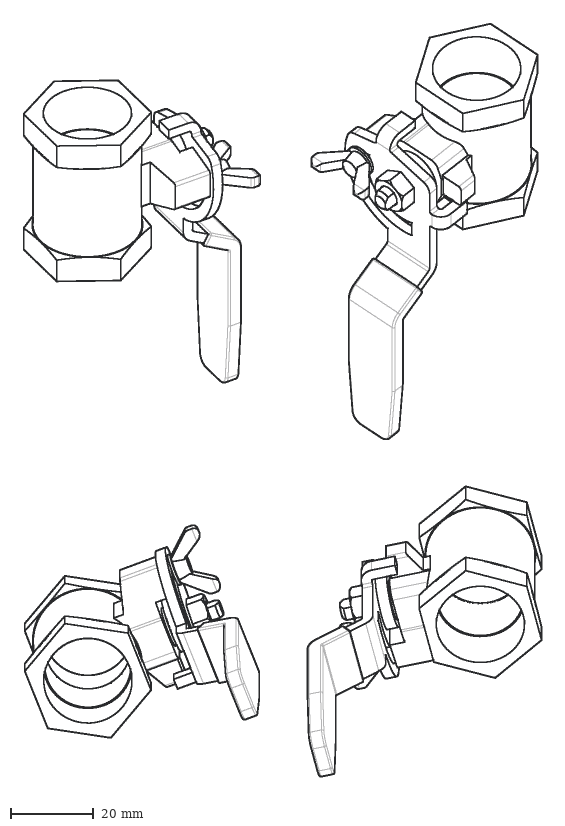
import cadquery as cq
import math


HOUSING_LENGTH = 40.4
HEX_FLATS = 26.7
HEX_HEIGHT = 7.1
HEX_CORNER_DROP = 0.75
BARREL_RADIUS = 13.2
PORT_RADIUS = 10.7
PORT_DEPTH = 12.4
BORE_RADIUS = 10.4

BOSS_FACE_Y = 20.85
BOSS_ROOT_Y = 9.35
BOSS_HALF_HEIGHT = 7.3
BOSS_LEFT_X = -7.6
BOSS_LEFT_HALF_HEIGHT = 2.7
BOSS_TOP_LEFT_X = -5.8
BOSS_TOP_RIGHT_X = 4.7
BOSS_CORNER_RADIUS = 2.3
LOCK_LUG_STEP_X = 8.6
LOCK_LUG_END_X = 16.7
LOCK_LUG_END_HALF_HEIGHT = 3.8
LOCK_LUG_END_Y = 14.7
LOCK_LUG_ROOT_Y = 12.5
STOP_LUG_END_X = -13.5
STOP_LUG_FACE_Y = 20.3
STOP_LUG_END_Y = 15.3
STOP_LUG_ROOT_X = -7.9
STOP_LUG_ROOT_Y = 12.3
STOP_LUG_TOP_Z = 3.55
LUG_EDGE_RADIUS = 0.8

SHEET = 2.6
PLATE_INNER_Y = 24.5
PLATE_OUTER_Y = PLATE_INNER_Y + SHEET
PLATE_RADIUS = 18.3
PLATE_CORNER_RADIUS = 2.7
PLATE_LEFT_CORNER_Z = 6.1
PLATE_RIGHT_CORNER = (17.9, 7.3)
STRIP_CENTER_X = -2.5
STRIP_WIDTH = 13.7
STRIP_LEFT_X = STRIP_CENTER_X - STRIP_WIDTH / 2
STRIP_RIGHT_X = STRIP_CENTER_X + STRIP_WIDTH / 2
BEND_INNER_RADIUS = 0.9
CRANK_ANGLE = math.radians(30)
CRANK_TOP_Z = -23.3
TAPER_TOP_Z = -54.2
TAPER = 1.4

TAB_TIP_Y = 18.0
TAB_ROOT_RADIUS = 0.7
TOP_TAB_LEFT_X = 3.6
TOP_TAB_RIGHT_X = 8.1
TOP_TAB_LEFT_ROOT_Z = 9.6
TOP_TAB_RIGHT_ROOT_Z = 9.2
TOP_TAB_FACE_Z = 13.4
STOP_TAB_TOP_Z = -2.7
STOP_TAB_BOTTOM_Z = -7.1
STOP_TAB_FACE_X = -13.4
STOP_TAB_INNER_RADIUS = 0.6
STOP_TAB_OUTER_RADIUS = STOP_TAB_INNER_RADIUS + SHEET

SLOT_RADIUS = 13.0
SLOT_WIDTH = 4.1
SLOT_OVERRUN = 3.55

GRIP_WALL = 0.6
GRIP_BOTTOM_Z = HOUSING_LENGTH / 2 - 93.5
GRIP_OUTER_Y = 40.7
STRIP_BOTTOM_Z = GRIP_BOTTOM_Z + GRIP_WALL
GRIP_START_Y = 30.85
GRIP_CORNER_RADIUS = 3.1
GRIP_EDGE_RADIUS = 0.5

STEM_RADIUS = 2.76
STEM_FLATS = 3.4
STEM_TIP_Y = 34.5
STEM_CHAMFER = 0.9
NECK_RADIUS = 4.9
COLLAR_RADIUS = 6.7
COLLAR_BASE_Y = 21.7
NUT_FLATS = 8.7
NUT_HEIGHT = 4.4
NUT_EDGE_CHAMFER = 0.6

WING_AXIS_X = SLOT_RADIUS
WING_FLANGE_RADIUS = 3.9
WING_FLANGE_HEIGHT = 0.7
WING_HUB_BASE_RADIUS = 2.9
WING_HUB_TOP_RADIUS = 2.3
WING_HUB_TOP_Y = 31.2
WING_REACH = 8.5
WING_TIP_Y = 36.4
WING_TIP_INNER = 5.8
WING_UNDERSIDE_Y = 33.6
WING_ROOT_OUTER = 3.2
WING_ROOT_INNER = 1.8
WING_ROOT_TOP_Y = 30.4
WING_THICKNESS = 3.0
WING_TIP_RADIUS = 1.2


def y_prism(points, y_start, y_end):
    """Extrude a closed XZ outline from y_start to y_end."""
    sketch = cq.Workplane("XZ", origin=(0, y_start, 0)).polyline(points).close()
    return sketch.extrude(y_start - y_end)


def y_cylinder(radius, y_start, y_end, x=0.0):
    return cq.Workplane("XZ", origin=(x, y_start, 0)).circle(radius).extrude(y_start - y_end)


def fillet_near(solid, direction, points, radius):
    """Round the edges along one axis that lie nearest to the given points."""
    for point in points:
        edge = solid.edges(f"|{direction}").edges(cq.NearestToPointSelector(point))
        solid = edge.fillet(radius)
    return solid


def hex_end():
    """Upper hexagonal end, its inner corners cut back by a shallow cone."""
    corner_radius = HEX_FLATS / math.sqrt(3)
    top = HOUSING_LENGTH / 2
    base = top - HEX_HEIGHT
    prism = cq.Workplane("XY", origin=(0, 0, base)).polygon(6, 2 * corner_radius).extrude(HEX_HEIGHT)
    envelope = (
        cq.Workplane("XZ")
        .polyline(
            [
                (0, base),
                (HEX_FLATS / 2, base),
                (corner_radius, base + HEX_CORNER_DROP),
                (corner_radius, top),
                (0, top),
            ]
        )
        .close()
        .revolve(360, (0, 0, 0), (0, 1, 0))
    )
    return prism.intersect(envelope)


def boss_and_lock_lug():
    corners = [
        (BOSS_LEFT_X, BOSS_LEFT_HALF_HEIGHT),
        (BOSS_TOP_LEFT_X, BOSS_HALF_HEIGHT),
        (BOSS_TOP_RIGHT_X, BOSS_HALF_HEIGHT),
        (LOCK_LUG_END_X, LOCK_LUG_END_HALF_HEIGHT),
    ]
    outline = corners + [(x, -z) for x, z in reversed(corners)]
    block = y_prism(outline, BOSS_ROOT_Y, PLATE_INNER_Y)
    for corner, radius in ((1, BOSS_CORNER_RADIUS), (2, BOSS_CORNER_RADIUS), (3, LUG_EDGE_RADIUS)):
        x, z = corners[corner]
        block = fillet_near(block, "Y", [(x, BOSS_FACE_Y, z), (x, BOSS_FACE_Y, -z)], radius)
    side_shape = (
        cq.Workplane("XY", origin=(0, 0, -BOSS_HALF_HEIGHT))
        .polyline(
            [
                (BOSS_LEFT_X, BOSS_ROOT_Y),
                (BOSS_LEFT_X, BOSS_FACE_Y),
                (LOCK_LUG_STEP_X, BOSS_FACE_Y),
                (LOCK_LUG_STEP_X, PLATE_INNER_Y),
                (LOCK_LUG_END_X, PLATE_INNER_Y),
                (LOCK_LUG_END_X, LOCK_LUG_END_Y),
                (LOCK_LUG_STEP_X, LOCK_LUG_ROOT_Y),
                (LOCK_LUG_STEP_X, BOSS_ROOT_Y),
            ]
        )
        .close()
        .extrude(2 * BOSS_HALF_HEIGHT)
    )
    return block.intersect(side_shape)


def stop_lug():
    lug = (
        cq.Workplane("XY", origin=(0, 0, STOP_TAB_TOP_Z))
        .polyline(
            [
                (0, STOP_LUG_FACE_Y),
                (STOP_LUG_END_X, STOP_LUG_FACE_Y),
                (STOP_LUG_END_X, STOP_LUG_END_Y),
                (STOP_LUG_ROOT_X, STOP_LUG_ROOT_Y),
                (STOP_LUG_ROOT_X, BOSS_ROOT_Y),
                (0, BOSS_ROOT_Y),
            ]
        )
        .close()
        .extrude(STOP_LUG_TOP_Z - STOP_TAB_TOP_Z)
    )
    return lug.faces("<X").edges("|Y").fillet(LUG_EDGE_RADIUS)


def make_housing():
    barrel = cq.Workplane("XY").cylinder(HOUSING_LENGTH, BARREL_RADIUS)
    upper_end = hex_end()
    body = barrel.union(upper_end).union(upper_end.mirror("XY"))
    body = body.union(boss_and_lock_lug()).union(stop_lug())
    body = body.cut(cq.Workplane("XY").cylinder(HOUSING_LENGTH, BORE_RADIUS))
    port = cq.Workplane("XY", origin=(0, 0, HOUSING_LENGTH / 2)).circle(PORT_RADIUS).extrude(-PORT_DEPTH)
    return body.cut(port).cut(port.mirror("XY"))


STRIP_UPPER_Y = PLATE_INNER_Y + SHEET / 2
STRIP_LOWER_Y = GRIP_OUTER_Y - GRIP_WALL - SHEET / 2


def crank_z(y):
    """Height of the strip's middle line at distance y along its sloping part."""
    return CRANK_TOP_Z - (y - STRIP_UPPER_Y) * math.tan(CRANK_ANGLE)


UPPER_BEND = (STRIP_UPPER_Y, CRANK_TOP_Z)
LOWER_BEND = (STRIP_LOWER_Y, crank_z(STRIP_LOWER_Y))


def left_normal(start, end):
    length = math.dist(start, end)
    return ((start[1] - end[1]) / length, (end[0] - start[0]) / length)


def offset_path(path, distance):
    """Corners of a (y, z) path moved sideways to its left, with mitred corners."""
    normals = [left_normal(start, end) for start, end in zip(path, path[1:])]
    before = normals[:1] + normals
    after = normals + normals[-1:]
    moved = []
    for point, first, second in zip(path, before, after):
        stretch = distance / (1 + first[0] * second[0] + first[1] * second[1])
        moved.append(
            (point[0] + stretch * (first[0] + second[0]), point[1] + stretch * (first[1] + second[1]))
        )
    return moved


def bent_band(path, thickness):
    """Sheet of the given thickness along a (y, z) path, extruded across the plate.

    All bends keep one middle radius, so a thicker band encloses a thinner one evenly.
    """
    left = offset_path(path, thickness / 2)
    right = offset_path(path, -thickness / 2)
    band = (
        cq.Workplane("YZ", origin=(-PLATE_RADIUS, 0, 0))
        .polyline(left + right[::-1])
        .close()
        .extrude(2 * PLATE_RADIUS)
    )
    middle_radius = BEND_INNER_RADIUS + SHEET / 2
    tight = middle_radius - thickness / 2
    wide = middle_radius + thickness / 2
    for index in range(1, len(path) - 1):
        first = left_normal(path[index - 1], path[index])
        second = left_normal(path[index], path[index + 1])
        turns_left = first[0] * second[1] > first[1] * second[0]
        band = fillet_near(band, "X", [(0, *left[index])], tight if turns_left else wide)
        band = fillet_near(band, "X", [(0, *right[index])], wide if turns_left else tight)
    return band


def tapered_end(half_width, bottom_z):
    """Lower end of the strip or grip outline, from its right side round to its left."""
    return [
        (STRIP_CENTER_X + half_width, TAPER_TOP_Z),
        (STRIP_CENTER_X + half_width - TAPER, bottom_z),
        (STRIP_CENTER_X - half_width + TAPER, bottom_z),
        (STRIP_CENTER_X - half_width, TAPER_TOP_Z),
    ]


def handle_blank():
    """Outline of the plate, strip and top tab, deep enough to hold every bend."""
    end = tapered_end(STRIP_WIDTH / 2, STRIP_BOTTOM_Z)
    rim_start_z = PLATE_RIGHT_CORNER[1]
    rim_start_x = math.sqrt(PLATE_RADIUS**2 - rim_start_z**2)
    rim_end_z = -math.sqrt(PLATE_RADIUS**2 - STRIP_RIGHT_X**2)
    stop_tab_root_x = STOP_TAB_FACE_X + STOP_TAB_OUTER_RADIUS
    blank = (
        cq.Workplane("XZ", origin=(0, TAB_TIP_Y, 0))
        .moveTo(STRIP_LEFT_X, PLATE_LEFT_CORNER_Z)
        .lineTo(TOP_TAB_LEFT_X, TOP_TAB_LEFT_ROOT_Z)
        .lineTo(TOP_TAB_LEFT_X, TOP_TAB_FACE_Z)
        .lineTo(TOP_TAB_RIGHT_X, TOP_TAB_FACE_Z)
        .lineTo(TOP_TAB_RIGHT_X, TOP_TAB_RIGHT_ROOT_Z)
        .lineTo(rim_start_x, rim_start_z)
        .threePointArc((PLATE_RADIUS, 0), (STRIP_RIGHT_X, rim_end_z))
        .lineTo(*end[0])
        .lineTo(*end[1])
        .lineTo(*end[2])
        .lineTo(*end[3])
        .lineTo(STRIP_LEFT_X, STOP_TAB_BOTTOM_Z)
        .lineTo(stop_tab_root_x, STOP_TAB_BOTTOM_Z)
        .lineTo(stop_tab_root_x, STOP_TAB_TOP_Z)
        .lineTo(STRIP_LEFT_X, STOP_TAB_TOP_Z)
        .close()
        .extrude(TAB_TIP_Y - GRIP_OUTER_Y)
    )
    rounded_corners = [
        (STRIP_LEFT_X, PLATE_LEFT_CORNER_Z, PLATE_CORNER_RADIUS),
        (rim_start_x, rim_start_z, PLATE_CORNER_RADIUS),
        (TOP_TAB_LEFT_X, TOP_TAB_LEFT_ROOT_Z, TAB_ROOT_RADIUS),
        (TOP_TAB_RIGHT_X, TOP_TAB_RIGHT_ROOT_Z, TAB_ROOT_RADIUS),
        (STRIP_LEFT_X, STOP_TAB_TOP_Z, TAB_ROOT_RADIUS),
        (STRIP_LEFT_X, STOP_TAB_BOTTOM_Z, TAB_ROOT_RADIUS),
        (*end[1], GRIP_CORNER_RADIUS - GRIP_WALL),
        (*end[2], GRIP_CORNER_RADIUS - GRIP_WALL),
    ]
    for x, z, radius in rounded_corners:
        blank = fillet_near(blank, "Y", [(x, STRIP_UPPER_Y, z)], radius)
    return blank


def stop_tab():
    """Tab that bends from the left edge of the plate towards the housing."""
    root_x = STOP_TAB_FACE_X + STOP_TAB_OUTER_RADIUS
    bend_y = PLATE_OUTER_Y - STOP_TAB_OUTER_RADIUS
    inner_diagonal = STOP_TAB_INNER_RADIUS * math.sqrt(0.5)
    outer_diagonal = STOP_TAB_OUTER_RADIUS * math.sqrt(0.5)
    return (
        cq.Workplane("XY", origin=(0, 0, STOP_TAB_BOTTOM_Z))
        .moveTo(root_x, PLATE_OUTER_Y)
        .threePointArc((root_x - outer_diagonal, bend_y + outer_diagonal), (STOP_TAB_FACE_X, bend_y))
        .lineTo(STOP_TAB_FACE_X, TAB_TIP_Y)
        .lineTo(STOP_TAB_FACE_X + SHEET, TAB_TIP_Y)
        .lineTo(STOP_TAB_FACE_X + SHEET, bend_y)
        .threePointArc((root_x - inner_diagonal, bend_y + inner_diagonal), (root_x, PLATE_INNER_Y))
        .close()
        .extrude(STOP_TAB_TOP_Z - STOP_TAB_BOTTOM_Z)
    )


def quarter_slot():
    """Arc slot about the stem, from the wing nut round to below the stem, square at both ends."""
    outer = y_cylinder(SLOT_RADIUS + SLOT_WIDTH / 2, PLATE_INNER_Y, PLATE_OUTER_Y)
    ring = outer.cut(y_cylinder(SLOT_RADIUS - SLOT_WIDTH / 2, PLATE_INNER_Y, PLATE_OUTER_Y))
    quarter = [
        (-SLOT_OVERRUN, SLOT_OVERRUN),
        (PLATE_RADIUS, SLOT_OVERRUN),
        (PLATE_RADIUS, -PLATE_RADIUS),
        (-SLOT_OVERRUN, -PLATE_RADIUS),
    ]
    return ring.intersect(y_prism(quarter, PLATE_INNER_Y, PLATE_OUTER_Y))


def make_handle():
    top_tab_z = TOP_TAB_FACE_Z - SHEET / 2
    path = [
        (TAB_TIP_Y, top_tab_z),
        (STRIP_UPPER_Y, top_tab_z),
        UPPER_BEND,
        LOWER_BEND,
        (STRIP_LOWER_Y, STRIP_BOTTOM_Z),
    ]
    handle = handle_blank().intersect(bent_band(path, SHEET))
    return handle.union(stop_tab()).cut(quarter_slot()).cut(stem_shank())


def make_grip(handle):
    half_width = STRIP_WIDTH / 2 + GRIP_WALL
    end = tapered_end(half_width, GRIP_BOTTOM_Z)
    outline = [(STRIP_CENTER_X + half_width, 0)] + end + [(STRIP_CENTER_X - half_width, 0)]
    blank = y_prism(outline, PLATE_INNER_Y, GRIP_OUTER_Y)
    for x, z in end[1:3]:
        blank = fillet_near(blank, "Y", [(x, STRIP_LOWER_Y, z)], GRIP_CORNER_RADIUS)
    start = (GRIP_START_Y, crank_z(GRIP_START_Y))
    path = [start, LOWER_BEND, (STRIP_LOWER_Y, GRIP_BOTTOM_Z)]
    grip = blank.intersect(bent_band(path, SHEET + 2 * GRIP_WALL))
    top_rim = grip.faces(cq.NearestToPointSelector((STRIP_CENTER_X, *start))).edges()
    below_bend = cq.selectors.BoxSelector(
        (-PLATE_RADIUS, 0, GRIP_BOTTOM_Z - 0.9), (PLATE_RADIUS, GRIP_OUTER_Y + 0.9, LOWER_BEND[1] - 2 * SHEET)
    )
    lower_rims = grip.edges(below_bend).edges("not |Y")
    grip = grip.newObject(top_rim.vals() + lower_rims.vals()).fillet(GRIP_EDGE_RADIUS)
    return grip.cut(handle)


def stem_shank():
    """Shank with two flats facing +X and -X."""
    length = STEM_TIP_Y - COLLAR_BASE_Y
    shank = y_cylinder(STEM_RADIUS, COLLAR_BASE_Y, STEM_TIP_Y).faces(">Y").chamfer(STEM_CHAMFER)
    flats = cq.Workplane("XY", origin=(0, COLLAR_BASE_Y + length / 2, 0)).box(
        STEM_FLATS, length, 2 * STEM_RADIUS
    )
    return shank.intersect(flats)


def make_stem():
    neck = y_cylinder(NECK_RADIUS, BOSS_FACE_Y, COLLAR_BASE_Y)
    collar = y_cylinder(COLLAR_RADIUS, COLLAR_BASE_Y, PLATE_INNER_Y)
    return neck.union(collar).union(stem_shank())


def make_nut():
    """Hexagonal nut with two corners along Z and its outer corners chamfered."""
    corner_radius = NUT_FLATS / math.sqrt(3)
    top = PLATE_OUTER_Y + NUT_HEIGHT
    corners = [
        (corner_radius * math.sin(math.radians(60 * i)), corner_radius * math.cos(math.radians(60 * i)))
        for i in range(6)
    ]
    prism = y_prism(corners, PLATE_OUTER_Y, top)
    envelope = y_cylinder(corner_radius, PLATE_OUTER_Y, top).faces(">Y").chamfer(NUT_EDGE_CHAMFER)
    return prism.intersect(envelope).cut(y_cylinder(STEM_RADIUS, PLATE_OUTER_Y, top))


def wing(side):
    """One wing; side is +1 or -1 along X."""
    base_y = PLATE_OUTER_Y + WING_FLANGE_HEIGHT
    outline = [
        (WING_ROOT_INNER, base_y),
        (WING_ROOT_OUTER, base_y),
        (WING_REACH, WING_UNDERSIDE_Y),
        (WING_REACH, WING_TIP_Y),
        (WING_TIP_INNER, WING_TIP_Y),
        (WING_ROOT_INNER, WING_ROOT_TOP_Y),
    ]
    blade = (
        cq.Workplane("XY", origin=(WING_AXIS_X, 0, -WING_THICKNESS / 2))
        .polyline([(side * x, y) for x, y in outline])
        .close()
        .extrude(WING_THICKNESS)
    )
    tips = [(WING_AXIS_X + side * x, y, 0) for x, y in outline[2:5]]
    blade = fillet_near(blade, "Z", tips, WING_TIP_RADIUS)
    rounded_slab = (
        cq.Workplane("XY", origin=(WING_AXIS_X, (base_y + WING_TIP_Y) / 2, 0))
        .box(3 * WING_REACH, WING_TIP_Y - base_y, WING_THICKNESS)
        .faces(">Y")
        .edges("|X")
        .fillet(WING_TIP_RADIUS)
    )
    return blade.intersect(rounded_slab)


def make_wing_nut():
    hub_base_y = PLATE_OUTER_Y + WING_FLANGE_HEIGHT
    flange = y_cylinder(WING_FLANGE_RADIUS, PLATE_OUTER_Y, hub_base_y, WING_AXIS_X)
    hub = (
        cq.Workplane("XY", origin=(WING_AXIS_X, 0, 0))
        .polyline(
            [
                (0, hub_base_y),
                (WING_HUB_BASE_RADIUS, hub_base_y),
                (WING_HUB_TOP_RADIUS, WING_HUB_TOP_Y),
                (0, WING_HUB_TOP_Y),
            ]
        )
        .close()
        .revolve(360, (0, 0, 0), (0, 1, 0))
    )
    return flange.union(hub).union(wing(1)).union(wing(-1))


housing = make_housing()
stem = make_stem()
handle = make_handle()
grip = make_grip(handle)
nut = make_nut()
wing_nut = make_wing_nut()

result = cq.Compound.makeCompound(
    [housing.val(), stem.val(), handle.val(), grip.val(), nut.val(), wing_nut.val()]
)